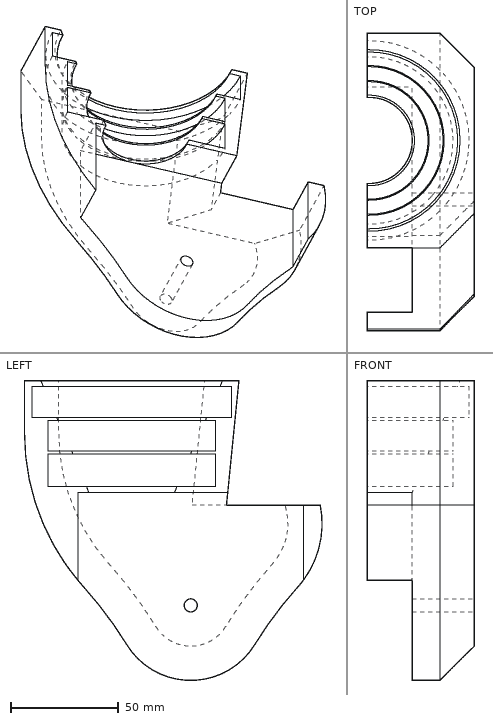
import cadquery as cq
import math


thickness = 50.0
total_height = 139.76
half_width = 50.0
edge_chamfer = 16.0
step_z = -58.0
wall_lean = 5.8

pivot_y = -27.5
nose_radius = 35.0
pivot_z = nose_radius - total_height
pivot_diameter = 6.0
heel_y = -88.73
heel_overrun = 10.0
flank_radius = 183.0
nose_angle = math.radians(31.5)
shoulder_angle = math.radians(42.0)

pocket_depth = 21.0
pocket_y_min = -80.0
pocket_y_max = 25.0
pocket_roof_z = -52.1

bore_axis_x = 1.0
end_lip = 2.8
middle_lip = 1.4
large_seat_radius = 46.5
small_seat_radius = 39.0
seat_height = 14.35
lowest_seat_height = -pocket_roof_z - 2 * (end_lip + middle_lip + seat_height)
lip_radii = [(42.3, 41.2), (34.9, 34.4), (27.9, 27.4), (21.1, 20.0)]
lip_heights = [end_lip, middle_lip, middle_lip, end_lip]
seats = [
    (large_seat_radius, seat_height),
    (small_seat_radius, seat_height),
    (small_seat_radius, lowest_seat_height),
]


def point_on_arc(center, radius, angle, side):
    """Point whose outward normal is `angle` below horizontal, toward +Y (side 1) or -Y (side -1)."""
    return (center[0] + side * radius * math.cos(angle), center[1] - radius * math.sin(angle))


def flank_points(side):
    """Nose junction, flank midpoint and shoulder of the hollow arc on one side."""
    pivot = (pivot_y, pivot_z)
    junction = point_on_arc(pivot, nose_radius, nose_angle, side)
    center = point_on_arc(pivot, nose_radius + flank_radius, nose_angle, side)
    middle = point_on_arc(center, -flank_radius, (nose_angle + shoulder_angle) / 2, side)
    shoulder = point_on_arc(center, -flank_radius, shoulder_angle, side)
    return junction, middle, shoulder


def upper_arc(shoulder, extreme_y, side):
    """Center and radius of the arc that leaves the shoulder tangentially and is vertical at extreme_y."""
    radius = side * (extreme_y - shoulder[0]) / (1 - math.cos(shoulder_angle))
    center = point_on_arc(shoulder, -radius, shoulder_angle, side)
    return center, radius


def rounded_blank():
    """Full outline with straight sides up to the top face, chamfered around the +X rim."""
    back_junction, back_flank, back_shoulder = flank_points(1)
    front_junction, front_flank, front_shoulder = flank_points(-1)
    back_center, back_radius = upper_arc(back_shoulder, half_width, 1)
    heel_center, heel_radius = upper_arc(front_shoulder, heel_y, -1)

    back_middle = point_on_arc(back_center, back_radius, shoulder_angle / 2, 1)
    back_end = point_on_arc(back_center, back_radius, 0, 1)

    heel_end_angle = math.asin((heel_center[1] - step_z - heel_overrun) / heel_radius)
    heel_middle = point_on_arc(heel_center, heel_radius, (shoulder_angle + heel_end_angle) / 2, -1)
    heel_end = point_on_arc(heel_center, heel_radius, heel_end_angle, -1)

    blank = (
        cq.Workplane("YZ")
        .moveTo(half_width, 0)
        .lineTo(*back_end)
        .threePointArc(back_middle, back_shoulder)
        .threePointArc(back_flank, back_junction)
        .threePointArc((pivot_y, pivot_z - nose_radius), front_junction)
        .threePointArc(front_flank, front_shoulder)
        .threePointArc(heel_middle, heel_end)
        .lineTo(heel_end[0], 0)
        .close()
        .extrude(thickness)
    )
    return blank.faces(">X").edges("not >Z").chamfer(edge_chamfer)


def step_clearance():
    """Space above the step, on the -Y side, shaped by the leaning chamfered wall of the upper block."""
    envelope = cq.Workplane("XY").box(
        thickness, half_width - heel_y, -step_z, centered=False
    ).translate((0, heel_y, step_z))
    upper_block = (
        cq.Workplane("YZ")
        .polyline([(half_width, 0), (-half_width, 0), (wall_lean - half_width, step_z), (half_width, step_z)])
        .close()
        .extrude(thickness)
        .faces(">X")
        .edges("<Y")
        .chamfer(edge_chamfer)
    )
    return envelope.cut(upper_block)


def pocket():
    pocket_height = total_height + pocket_roof_z
    return cq.Workplane("XY").box(
        pocket_depth, pocket_y_max - pocket_y_min, pocket_height, centered=False
    ).translate((0, pocket_y_min, -total_height))


def bearing_bore():
    """Revolved bore: lip, seat, lip, seat, lip, seat, lip."""
    outline = [(0, 0)]
    z = 0.0
    for index, (upper_radius, lower_radius) in enumerate(lip_radii):
        outline.append((upper_radius, z))
        z -= lip_heights[index]
        outline.append((lower_radius, z))
        if index < len(seats):
            seat_radius, height = seats[index]
            outline.append((seat_radius, z))
            z -= height
            outline.append((seat_radius, z))
    outline.append((0, z))
    bore = cq.Workplane("XZ").polyline(outline).close().revolve(360, (0, 0), (0, 1))
    return bore.translate((bore_axis_x, 0, 0))


def pivot_hole():
    return cq.Workplane("YZ").center(pivot_y, pivot_z).circle(pivot_diameter / 2).extrude(thickness)


result = (
    rounded_blank()
    .cut(step_clearance())
    .cut(pocket())
    .cut(bearing_bore())
    .cut(pivot_hole())
)